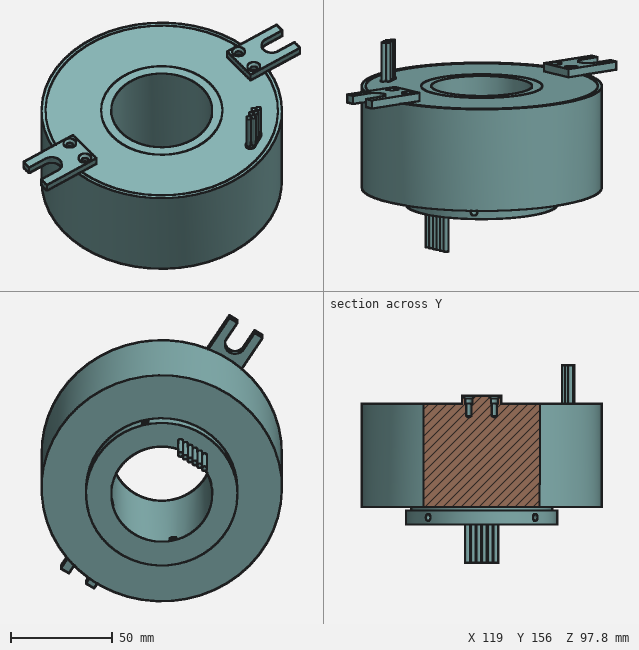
import cadquery as cq
import math

ring_height = 7.0
neck_height = 1.6
drum_height = 51.2
lead_length = 19.0
neck_base = ring_height
drum_base = neck_base + neck_height
drum_top = drum_base + drum_height

bore_diameter = 50.0
ring_diameter = 75.0
neck_diameter = 70.0
drum_diameter = 119.0

hub_diameter = 60.0
cover_diameter = 115.0
cover_recess = 0.1

set_screw_diameter = 3.3
set_screw_count = 4
set_screw_start_angle = 45.0

bracket_width = 19.5
bracket_length = 30.5
bracket_thickness = 4.0
bracket_outer_end = 78.0
bracket_inner_end = bracket_outer_end - bracket_length
fork_width = 10.0
fork_depth = 15.2

screw_spacing = 12.7
screw_radial_position = 52.0
screw_hole_diameter = 3.3
tapped_hole_diameter = 2.5
tapped_hole_depth = 6.0
countersink_diameter = 6.3
countersink_angle = 90.0
drill_tip_angle = 118.0

lead_root = 2.0

exit_angle = 30.0
exit_radius = 49.5
exit_slot_length = 12.5
exit_slot_width = 4.7
exit_slot_depth = 0.5
leads_per_row = 3
upper_lead_diameter = 2.3
upper_lead_pitch = 3.1
upper_row_offset = 0.95

lower_lead_count = 6
lower_lead_diameter = 2.5
lower_lead_pitch = 2.8
lower_row_y = 28.5


def disc(diameter, base, height):
    return cq.Workplane("XY").workplane(offset=base).circle(diameter / 2).extrude(height)


def make_body():
    """Drum, neck and clamp ring on one axis, with the bore right through."""
    body = disc(ring_diameter, 0, ring_height)
    body = body.union(disc(neck_diameter, neck_base, neck_height))
    body = body.union(disc(drum_diameter, drum_base, drum_height))
    recess_floor = drum_top - cover_recess
    recess = disc(cover_diameter, recess_floor, cover_recess).cut(
        disc(hub_diameter, recess_floor, cover_recess)
    )
    return body.cut(recess).cut(disc(bore_diameter, 0, drum_top))


def make_set_screw_holes():
    """Radial holes from the ring's outer face through to the bore."""
    hole = (
        cq.Workplane("YZ")
        .center(0, ring_height / 2)
        .circle(set_screw_diameter / 2)
        .extrude(ring_diameter / 2)
    )
    holes = cq.Workplane("XY")
    for index in range(set_screw_count):
        angle = set_screw_start_angle + index * 360 / set_screw_count
        holes = holes.add(hole.rotate((0, 0, 0), (0, 0, 1), angle))
    return holes.combine()


def make_bracket():
    """Fork-ended plate pointing along +Y, seated on the cover."""
    seat = drum_top - cover_recess
    thickness = bracket_thickness + cover_recess
    plate = cq.Workplane("XY").box(
        bracket_width, bracket_length, thickness, centered=(True, False, False)
    )
    plate = plate.translate((0, bracket_inner_end, seat))
    fork_root = bracket_outer_end - fork_depth
    arc_start = fork_root + fork_width / 2
    fork = (
        cq.Workplane("XY")
        .workplane(offset=seat)
        .moveTo(-fork_width / 2, bracket_outer_end)
        .lineTo(-fork_width / 2, arc_start)
        .threePointArc((0, fork_root), (fork_width / 2, arc_start))
        .lineTo(fork_width / 2, bracket_outer_end)
        .close()
        .extrude(thickness)
    )
    return plate.cut(fork)


def make_bracket_screw_holes():
    """Pair of countersunk bracket holes over blind holes in the drum, for the +Y bracket."""
    hole_radius = screw_hole_diameter / 2
    tapped_radius = tapped_hole_diameter / 2
    sink_radius = countersink_diameter / 2
    top = drum_top + bracket_thickness
    tapped_bottom = drum_top - tapped_hole_depth
    sink_depth = (sink_radius - hole_radius) / math.tan(math.radians(countersink_angle / 2))
    tip_depth = tapped_radius / math.tan(math.radians(drill_tip_angle / 2))
    hole = (
        cq.Workplane("XZ")
        .moveTo(0, top)
        .lineTo(sink_radius, top)
        .lineTo(hole_radius, top - sink_depth)
        .lineTo(hole_radius, drum_top)
        .lineTo(tapped_radius, drum_top)
        .lineTo(tapped_radius, tapped_bottom)
        .lineTo(0, tapped_bottom - tip_depth)
        .close()
        .revolve(360, (0, 0), (0, 1))
    )
    left = hole.translate((-screw_spacing / 2, screw_radial_position, 0))
    right = hole.translate((screw_spacing / 2, screw_radial_position, 0))
    return left.add(right).combine()


def mirrored_pair(shape):
    """The shape together with its mirror image on the -Y side."""
    return shape.union(shape.mirror("XZ"))


def make_exit_slot():
    """Shallow round-ended slot around the upper leads."""
    slot = cq.Workplane("XY").slot2D(exit_slot_length, exit_slot_width, 90)
    slot = slot.extrude(exit_slot_depth)
    slot = slot.translate((exit_radius, 0, drum_top - exit_slot_depth))
    return slot.rotate((0, 0, 0), (0, 0, 1), exit_angle)


def make_upper_leads():
    """Two rows of leads, each row shifted half a pitch against the other."""
    points = []
    for side in (-1, 1):
        for index in range(leads_per_row):
            along = (index - (leads_per_row - 1) / 2) * upper_lead_pitch
            along += side * upper_lead_pitch / 4
            points.append((exit_radius + side * upper_row_offset, along))
    leads = (
        cq.Workplane("XY")
        .workplane(offset=drum_top - lead_root)
        .pushPoints(points)
        .circle(upper_lead_diameter / 2)
        .extrude(lead_root + lead_length)
    )
    return leads.rotate((0, 0, 0), (0, 0, 1), exit_angle)


def make_lower_leads():
    """Single row of leads hanging below the clamp ring."""
    return (
        cq.Workplane("XY")
        .workplane(offset=-lead_length)
        .center(0, lower_row_y)
        .rarray(lower_lead_pitch, 1, lower_lead_count, 1)
        .circle(lower_lead_diameter / 2)
        .extrude(lead_length + lead_root)
    )


result = make_body()
result = result.cut(make_set_screw_holes())
result = result.union(mirrored_pair(make_bracket()))
result = result.cut(mirrored_pair(make_bracket_screw_holes()))
result = result.cut(make_exit_slot())
result = result.union(make_upper_leads())
result = result.union(make_lower_leads())